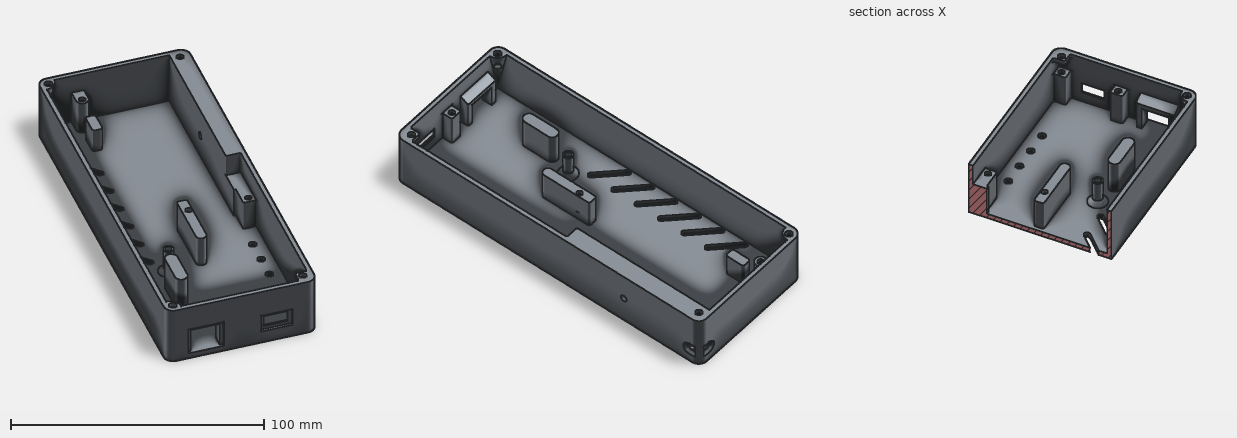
import cadquery as cq
import math

LENGTH = 156.5
WIDTH = 63.0
HEIGHT = 25.5
CORNER_RADIUS = 4.0
WALL = 2.0
FLOOR = 2.5
INNER_RIGHT = LENGTH - WALL
INNER_BACK = WIDTH - WALL

THICK_WALL_FRONT = 54.8
THICK_WALL_END = 79.5
LEDGE_START = 70.0
LEDGE_END = 88.8
LEDGE_FRONT = 55.6
LEDGE_TOP = 15.7
LEDGE_FILLET = 0.6
SIDE_HOLE_X = 39.2
SIDE_HOLE_DIAMETER = 3.0

BOARD_HOLE_DIAMETER = 2.7
BOARD_HOLE_DEPTH = 10.0
BOARD_LEFT_X = 86.35
BOARD_RIGHT_X = 151.85
BOARD_FRONT_Y = 33.5
BOARD_BACK_Y = 58.5
POST_TOP = 17.0
POST_LEFT = 149.6
POST_FRONT_OFFSET = 2.9
POST_BACK_OFFSET = 2.6
POST_FILLET = 0.8
RAIL_LEFT = 79.9
RAIL_RIGHT = 105.2
RAIL_FRONT = 30.7
RAIL_BACK = 35.1
RAIL_TOP = 16.0
RAIL_LEFT_FILLET = 0.9
RAIL_RIGHT_FILLET = 2.1

CHARGER_Y = 16.5
TAB_HOLE_X = 7.45
TAB_RADIUS = 2.6
TAB_TOP = 17.2
SMALL_HOLE_DIAMETER = 2.7
SMALL_HOLE_DEPTH = 8.0
LONG_PAD_CENTER_X = 120.35
LONG_PAD_LENGTH = 17.0
SHORT_PAD_CENTER = (18.05, 17.75)
SHORT_PAD_LENGTH = 9.2
SHORT_PAD_WIDTH = 4.3
SHORT_PAD_FILLET = 1.2
SHORT_PAD_TOP = 13.0
PILLAR_CENTER = (104.2, 18.9)
PILLAR_DIAMETER = 4.3
PILLAR_TOP = 13.5
PILLAR_FOOT = 2.1

FRAME_LEFT = 150.5
FRAME_WIDTH = 17.0
FRAME_TOP = 17.4
FRAME_SLOPE = 30.0
FRAME_FILLET = 0.8
SOCKET_WIDTH = 12.0
SOCKET_TOP = 13.0

WINDOW_Y = (BOARD_FRONT_Y + BOARD_BACK_Y) / 2
WINDOW_WIDTH = 10.2
WINDOW_BOTTOM = 7.1
WINDOW_TOP = 12.0

PLUG_RECESS_DEPTH = 1.2
PLUG_RECESS_MARGIN = 1.5

SCREW_HOLE_DEPTH = 8.0
FRONT_SCREW_INSET = 3.5
FRONT_SCREW_Y = 3.75
FRONT_SCREW_DIAMETER = 3.2
FRONT_BOSS_RADIUS = 4.7
BACK_SCREW_DIAMETER = 3.0
BACK_LEFT_SCREW = (4.4, 58.5)
RIM_BLOCK_DEPTH = 2.0
RIM_BLOCK_FRONT = 56.0

INDICATOR_DIAMETER = 3.2
INDICATOR_FIRST_X = 99.2
INDICATOR_PITCH = 10.0
INDICATOR_COUNT = 4
INDICATOR_Y = 55.9
VENT_WIDTH = 2.7
VENT_RUN = 10.3
VENT_ANGLE = 45.0
VENT_FIRST_X = 26.35
VENT_Y = 3.6
VENT_PITCH = 12.0
VENT_COUNT = 6

TUNNEL_Z = 6.9
TUNNEL_RADIUS = 1.6
TUNNEL_BEND = 5.7
MOUTH_RADIUS = 3.0
MOUTH_START = 2.4
MOUTH_END = 8.7
MOUTH_DEPTH = 1.4
MOUTH_TAPER = 45.0


def box(x_range, y_range, z_range):
    """Axis-aligned block between the given limits."""
    size = [high - low for low, high in (x_range, y_range, z_range)]
    return cq.Workplane("XY").box(*size, centered=False).translate((x_range[0], y_range[0], z_range[0]))


def cylinder(center, diameter, bottom, top):
    """Upright cylinder between two levels."""
    return cq.Workplane("XY", origin=(*center, bottom)).circle(diameter / 2).extrude(top - bottom)


def make_shell():
    """Open tray with rounded outer corners."""
    outer = box((0, LENGTH), (0, WIDTH), (0, HEIGHT)).edges("|Z").fillet(CORNER_RADIUS)
    cavity = box((WALL, INNER_RIGHT), (WALL, INNER_BACK), (FLOOR, HEIGHT))
    return outer.cut(cavity)


def make_thick_wall():
    """Thickened back wall that steps down to the board ledge."""
    tall = box((WALL, LEDGE_START), (THICK_WALL_FRONT, INNER_BACK), (FLOOR, HEIGHT))
    low = box((WALL, THICK_WALL_END), (THICK_WALL_FRONT, INNER_BACK), (FLOOR, LEDGE_TOP))
    ledge = box((WALL, LEDGE_END), (LEDGE_FRONT, INNER_BACK), (FLOOR, LEDGE_TOP))
    return tall.union(low).union(ledge)


def make_post(center_y, back_y):
    """Board post against the right wall."""
    return box((POST_LEFT, INNER_RIGHT), (center_y - POST_FRONT_OFFSET, back_y), (FLOOR, POST_TOP))


def make_rim_block():
    """Lid screw block under the rim in the right back corner."""
    return box((POST_LEFT, INNER_RIGHT), (RIM_BLOCK_FRONT, INNER_BACK), (HEIGHT - RIM_BLOCK_DEPTH, HEIGHT))


def round_upright_edges(part, points, radius):
    """Fillet the upright edge whose middle lies nearest to each point."""
    for point in points:
        part = part.edges("|Z").edges(cq.NearestToPointSelector(point)).fillet(radius)
    return part


def round_ledge(part):
    """Round the upright edges of the thick wall and the ledge, inner and outer."""
    upper_z = (LEDGE_TOP + HEIGHT) / 2
    lower_z = (FLOOR + LEDGE_TOP) / 2
    points = [
        (LEDGE_START, THICK_WALL_FRONT, upper_z),
        (LEDGE_START, INNER_BACK, upper_z),
        (THICK_WALL_END, LEDGE_FRONT, lower_z),
        (LEDGE_END, LEDGE_FRONT, lower_z),
        (LEDGE_END, INNER_BACK, lower_z),
    ]
    return round_upright_edges(part, points, LEDGE_FILLET)


def round_posts(part):
    """Round the upright edges of both posts and the rim block, inner and outer."""
    post_z = (FLOOR + POST_TOP) / 2
    rim_z = HEIGHT - RIM_BLOCK_DEPTH / 2
    points = [(POST_LEFT, INNER_BACK, post_z), (POST_LEFT, INNER_BACK, rim_z)]
    for x in (POST_LEFT, INNER_RIGHT):
        points.append((x, BOARD_FRONT_Y - POST_FRONT_OFFSET, post_z))
        points.append((x, BOARD_FRONT_Y + POST_BACK_OFFSET, post_z))
        points.append((x, BOARD_BACK_Y - POST_FRONT_OFFSET, post_z))
        points.append((x, RIM_BLOCK_FRONT, rim_z))
    return round_upright_edges(part, points, POST_FILLET)


def make_rail():
    """Board rail standing in the middle of the tray."""
    rail = box((RAIL_LEFT, RAIL_RIGHT), (RAIL_FRONT, RAIL_BACK), (FLOOR, RAIL_TOP))
    rail = rail.edges("|Z and <X").fillet(RAIL_LEFT_FILLET)
    return rail.edges("|Z and >X").fillet(RAIL_RIGHT_FILLET)


def make_tab():
    """Round-ended tab on the left wall."""
    y_range = (CHARGER_Y - TAB_RADIUS, CHARGER_Y + TAB_RADIUS)
    tab = box((WALL, TAB_HOLE_X), y_range, (FLOOR, TAB_TOP))
    return tab.union(cylinder((TAB_HOLE_X, CHARGER_Y), 2 * TAB_RADIUS, FLOOR, TAB_TOP))


def make_long_pad():
    """Round-ended pad under the charger module."""
    pad = cq.Workplane("XY", origin=(LONG_PAD_CENTER_X, CHARGER_Y, FLOOR))
    return pad.slot2D(LONG_PAD_LENGTH, 2 * TAB_RADIUS).extrude(TAB_TOP - FLOOR)


def make_short_pad():
    """Small rounded pad near the left wall."""
    pad = cq.Workplane("XY", origin=(*SHORT_PAD_CENTER, FLOOR)).rect(SHORT_PAD_LENGTH, SHORT_PAD_WIDTH)
    return pad.extrude(SHORT_PAD_TOP - FLOOR).edges("|Z").fillet(SHORT_PAD_FILLET)


def make_pillar():
    """Screw pillar with a conical foot."""
    radius = PILLAR_DIAMETER / 2
    pillar = cylinder(PILLAR_CENTER, PILLAR_DIAMETER, FLOOR, PILLAR_TOP)
    foot = cq.Solid.makeCone(radius + PILLAR_FOOT, radius, PILLAR_FOOT)
    return pillar.union(cq.Workplane(foot.translate(cq.Vector(*PILLAR_CENTER, FLOOR))))


def make_socket_frame():
    """Frame around the charger socket, with a top that slopes down into the tray."""
    drop = (INNER_RIGHT - FRAME_LEFT) * math.tan(math.radians(FRAME_SLOPE))
    back_y = CHARGER_Y + FRAME_WIDTH / 2
    frame = (
        cq.Workplane("XZ", origin=(0, back_y, 0))
        .moveTo(INNER_RIGHT, FLOOR)
        .lineTo(FRAME_LEFT, FLOOR)
        .lineTo(FRAME_LEFT, FRAME_TOP - drop)
        .lineTo(INNER_RIGHT, FRAME_TOP)
        .close()
        .extrude(FRAME_WIDTH)
    )
    return frame.edges("|Z and <X and >Y").fillet(FRAME_FILLET)


def make_front_bosses():
    """Lid screw bosses in the two front corners, each a quarter cone narrowing down into its corner."""
    cone = cq.Solid.makeCone(0, FRONT_BOSS_RADIUS, HEIGHT - FLOOR, angleDegrees=90)
    left = cq.Workplane(cone).translate((WALL, WALL, FLOOR))
    return left.union(left.mirror("YZ", (LENGTH / 2, 0, 0)))


def make_screw_holes():
    """Blind holes for the lid, the boards and the modules."""
    holes = []
    for x in (FRONT_SCREW_INSET, LENGTH - FRONT_SCREW_INSET):
        holes.append(((x, FRONT_SCREW_Y), FRONT_SCREW_DIAMETER, HEIGHT, SCREW_HOLE_DEPTH))
    holes.append((BACK_LEFT_SCREW, BACK_SCREW_DIAMETER, HEIGHT, SCREW_HOLE_DEPTH))
    holes.append(((BOARD_RIGHT_X, BOARD_BACK_Y), BACK_SCREW_DIAMETER, HEIGHT, RIM_BLOCK_DEPTH))
    holes.append(((BOARD_RIGHT_X, BOARD_BACK_Y), BOARD_HOLE_DIAMETER, POST_TOP, BOARD_HOLE_DEPTH))
    holes.append(((BOARD_RIGHT_X, BOARD_FRONT_Y), BOARD_HOLE_DIAMETER, POST_TOP, BOARD_HOLE_DEPTH))
    holes.append(((BOARD_LEFT_X, BOARD_FRONT_Y), BOARD_HOLE_DIAMETER, RAIL_TOP, BOARD_HOLE_DEPTH))
    holes.append(((BOARD_LEFT_X, BOARD_BACK_Y), BOARD_HOLE_DIAMETER, LEDGE_TOP, BOARD_HOLE_DEPTH))
    holes.append(((TAB_HOLE_X, CHARGER_Y), SMALL_HOLE_DIAMETER, TAB_TOP, SMALL_HOLE_DEPTH))
    holes.append((PILLAR_CENTER, SMALL_HOLE_DIAMETER, PILLAR_TOP, SMALL_HOLE_DEPTH))
    cutter = cq.Workplane("XY")
    for center, diameter, top, depth in holes:
        cutter = cutter.add(cylinder(center, diameter, top - depth, top))
    return cutter.combine()


def make_floor_openings():
    """Row of indicator holes and row of slanted vents through the floor."""
    cutter = cq.Workplane("XY")
    for i in range(INDICATOR_COUNT):
        x = INDICATOR_FIRST_X + i * INDICATOR_PITCH
        cutter = cutter.add(cylinder((x, INDICATOR_Y), INDICATOR_DIAMETER, 0, FLOOR))
    slot_length = VENT_RUN * math.sqrt(2) + VENT_WIDTH
    for i in range(VENT_COUNT):
        center_x = VENT_FIRST_X + i * VENT_PITCH + VENT_RUN / 2
        vent = cq.Workplane("XY", origin=(center_x, VENT_Y + VENT_RUN / 2, 0))
        cutter = cutter.add(vent.slot2D(slot_length, VENT_WIDTH, VENT_ANGLE).extrude(FLOOR))
    return cutter.combine()


def make_wall_openings():
    """Socket and port window in the right wall, and the cross hole in the thick back wall."""
    openings = cq.Workplane("XY")
    for start_x, center_y, width, bottom, top in (
        (FRAME_LEFT, CHARGER_Y, SOCKET_WIDTH, FLOOR, SOCKET_TOP),
        (INNER_RIGHT, WINDOW_Y, WINDOW_WIDTH, WINDOW_BOTTOM, WINDOW_TOP),
    ):
        side = width / 2
        edge = side + PLUG_RECESS_MARGIN
        recess_z = (max(bottom - PLUG_RECESS_MARGIN, FLOOR), top + PLUG_RECESS_MARGIN)
        openings = openings.add(box((start_x, LENGTH), (center_y - side, center_y + side), (bottom, top)))
        recess = box((LENGTH - PLUG_RECESS_DEPTH, LENGTH), (center_y - edge, center_y + edge), recess_z)
        openings = openings.add(recess)
    side_hole = (
        cq.Workplane("XZ", origin=(SIDE_HOLE_X, WIDTH, HEIGHT / 2))
        .circle(SIDE_HOLE_DIAMETER / 2)
        .extrude(WIDTH - THICK_WALL_FRONT)
    )
    return openings.add(side_hole).combine()


def make_lanyard_tunnel():
    """Quarter-ring tunnel from the left face to the back face, with a flared mouth at each end."""
    ring = cq.Workplane("XY").add(cq.Solid.makeTorus(TUNNEL_BEND, TUNNEL_RADIUS))
    round_center = MOUTH_END - MOUTH_RADIUS
    back_mouth = (
        cq.Workplane("XZ")
        .moveTo(MOUTH_START, -MOUTH_RADIUS)
        .lineTo(round_center, -MOUTH_RADIUS)
        .threePointArc((MOUTH_END, 0), (round_center, MOUTH_RADIUS))
        .lineTo(MOUTH_START, MOUTH_RADIUS)
        .close()
        .extrude(MOUTH_DEPTH, taper=MOUTH_TAPER)
    )
    left_mouth = back_mouth.mirror("XZ").rotate((0, 0, 0), (0, 0, 1), -90)
    return ring.union(back_mouth).union(left_mouth).translate((0, WIDTH, TUNNEL_Z))


def build():
    """Tray with its supports added and its openings cut."""
    part = make_shell().union(make_thick_wall()).union(make_rim_block())
    part = part.union(make_post(BOARD_FRONT_Y, BOARD_FRONT_Y + POST_BACK_OFFSET))
    part = part.union(make_post(BOARD_BACK_Y, INNER_BACK))
    part = round_posts(round_ledge(part))
    part = part.union(make_rail()).union(make_tab())
    part = part.union(make_long_pad()).union(make_short_pad())
    part = part.union(make_pillar()).union(make_socket_frame()).union(make_front_bosses())
    for cutter in (make_screw_holes(), make_floor_openings(), make_wall_openings(), make_lanyard_tunnel()):
        part = part.cut(cutter)
    return part


result = build()